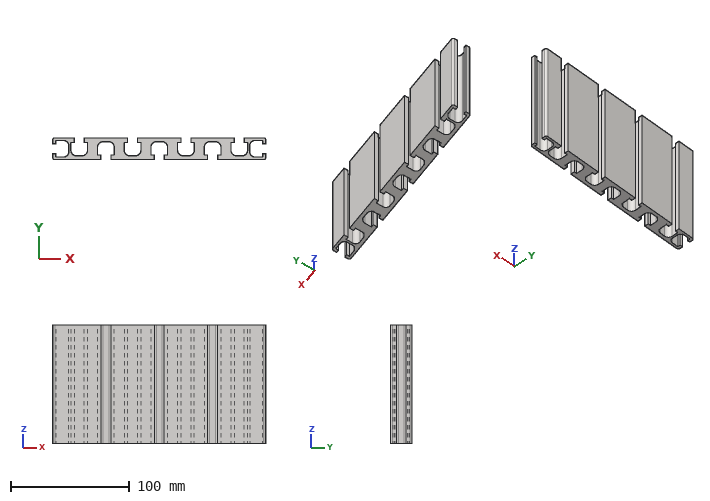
import cadquery as cq

width = 180.0
thickness = 18.5
length = 100.0
outer_radius = 2.0

slot_pitch = width / 4
mouth_width = 8.3
cavity_width = 13.9
cavity_radius = 4.5

face_lip = 4.1
face_depth = 15.1

edge_lip = 2.9
edge_depth = 13.7


def slot_cutter(x, y, angle, lip, depth):
    """T-slot opening at (x, y) and running inward along the direction at angle from +Y."""
    mouth = cq.Workplane("XY").center(0, depth / 4).rect(mouth_width, depth / 2).extrude(length)
    cavity = (
        cq.Workplane("XY")
        .center(0, (lip + depth) / 2)
        .rect(cavity_width, depth - lip)
        .extrude(length)
        .edges("|Z and >Y")
        .fillet(cavity_radius)
    )
    return mouth.union(cavity).rotate((0, 0, 0), (0, 0, 1), angle).translate((x, y, 0))


result = cq.Workplane("XY").rect(width, thickness).extrude(length).edges("|Z").fillet(outer_radius)

for step in (-1, 0, 1):
    result = result.cut(slot_cutter(step * slot_pitch, -thickness / 2, 0, face_lip, face_depth))

for step in (-1.5, -0.5, 0.5, 1.5):
    result = result.cut(slot_cutter(step * slot_pitch, thickness / 2, 180, face_lip, face_depth))

result = result.cut(slot_cutter(-width / 2, 0, -90, edge_lip, edge_depth))
result = result.cut(slot_cutter(width / 2, 0, 90, edge_lip, edge_depth))